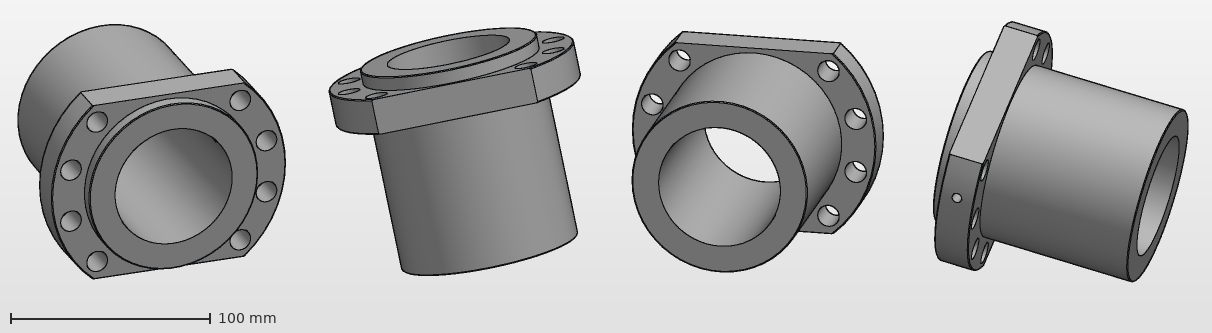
import cadquery as cq
import math

length = 103.5
sleeve_diameter = 90.0
bore_diameter = 62.5
sleeve_chamfer = 0.5

flange_diameter = 125.0
flange_height = 95.0
flange_thickness = 18.0
flange_setback = 7.0
flange_chamfer = 0.5
flange_start = length - flange_setback - flange_thickness

bolt_circle_radius = 54.0
bolt_hole_diameter = 11.0
bolt_angles = (-45, -15, 15, 45)

oil_hole_diameter = 5.0
oil_hole_angle = (bolt_angles[2] + bolt_angles[3]) / 2


def cylinder_along_x(diameter, start, height):
    return cq.Workplane("YZ", origin=(start, 0, 0)).circle(diameter / 2).extrude(height)


def make_sleeve():
    sleeve = cylinder_along_x(sleeve_diameter, 0, length)
    return sleeve.faces("<X or >X").edges().chamfer(sleeve_chamfer)


def make_flange():
    disc = cylinder_along_x(flange_diameter, flange_start, flange_thickness)
    disc = disc.faces("<X or >X").edges().chamfer(flange_chamfer)
    flats = cq.Workplane("XY").box(2 * length, flange_diameter, flange_height)
    return disc.intersect(flats)


def make_bolt_holes():
    centers = []
    for angle in bolt_angles:
        y = bolt_circle_radius * math.cos(math.radians(angle))
        z = bolt_circle_radius * math.sin(math.radians(angle))
        centers += [(y, z), (-y, z)]
    plane = cq.Workplane("YZ", origin=(flange_start, 0, 0))
    return plane.pushPoints(centers).circle(bolt_hole_diameter / 2).extrude(flange_thickness)


def make_oil_hole():
    direction = cq.Vector(
        0,
        math.cos(math.radians(oil_hole_angle)),
        math.sin(math.radians(oil_hole_angle)),
    )
    start = cq.Vector(flange_start + flange_thickness / 2, 0, 0)
    return cq.Solid.makeCylinder(oil_hole_diameter / 2, flange_diameter, start, direction)


bore = cylinder_along_x(bore_diameter, 0, length)

result = (
    make_sleeve()
    .union(make_flange())
    .cut(bore)
    .cut(make_bolt_holes())
    .cut(make_oil_hole())
)